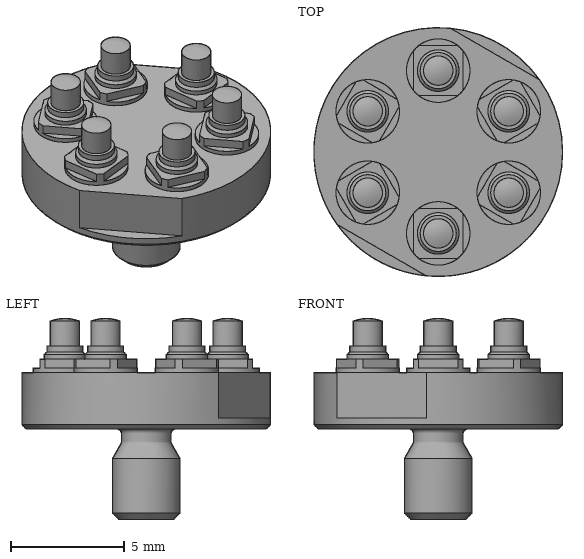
import cadquery as cq
import math

plate_diameter = 11.0
plate_thickness = 2.5
plate_chamfer = 0.2
flat_distance = 5.0
flat_height = 2.0
flat_angles = (60, 240)

stud_diameter = 3.0
stud_length = 4.0
stud_chamfer = 0.3
neck_diameter = 2.2
neck_length = 0.6
neck_fillet = 0.2
cone_half_angle = 30

pin_count = 6
pin_circle_radius = 3.6
first_pin_angle = 30
flange_diameter = 2.8
flange_height = 0.2
square_width = 2.2
square_height = 0.4
collar_diameter = 1.84
collar_height = 0.2
step_diameter = 1.6
step_height = 0.58
shoulder_height = 0.12
tip_diameter = 1.3
pin_height = 2.4
dome_height = 0.12


def make_plate():
    plate = cq.Workplane("XY").circle(plate_diameter / 2).extrude(plate_thickness)
    plate = plate.faces("<Z").edges().chamfer(plate_chamfer)
    cutter = (
        cq.Workplane("XY")
        .box(plate_diameter, plate_diameter, flat_height, centered=(False, True, False))
        .translate((flat_distance, 0, plate_thickness - flat_height))
    )
    for angle in flat_angles:
        plate = plate.cut(cutter.rotate((0, 0, 0), (0, 0, 1), angle))
    return plate


def make_stud():
    stud_radius = stud_diameter / 2
    neck_radius = neck_diameter / 2
    cone_length = (stud_radius - neck_radius) / math.tan(math.radians(cone_half_angle))

    tangent = neck_fillet * math.tan(math.radians(cone_half_angle / 2))
    cone_tangent_radius = neck_radius + tangent * math.sin(math.radians(cone_half_angle))
    cone_tangent_z = -neck_length - tangent * math.cos(math.radians(cone_half_angle))
    profile = (
        cq.Workplane("XZ")
        .lineTo(neck_radius + neck_fillet, 0)
        .radiusArc((neck_radius, -neck_fillet), -neck_fillet)
        .lineTo(neck_radius, -neck_length + tangent)
        .radiusArc((cone_tangent_radius, cone_tangent_z), -neck_fillet)
        .lineTo(stud_radius, -neck_length - cone_length)
        .lineTo(stud_radius, -stud_length + stud_chamfer)
        .lineTo(stud_radius - stud_chamfer, -stud_length)
        .lineTo(0, -stud_length)
        .close()
    )
    return profile.revolve(360, (0, 0, 0), (0, 1, 0))


def make_pin():
    """One pin standing on Z = 0, with its square facing +X."""
    flange_radius = flange_diameter / 2
    square_top = flange_height + square_height
    flange = cq.Workplane("XY").circle(flange_radius).extrude(square_top)
    square = cq.Workplane("XY").rect(square_width, square_width).extrude(square_top)
    disc = cq.Workplane("XY").circle(flange_radius).extrude(flange_height)
    base = flange.intersect(square).union(disc)

    collar_radius = collar_diameter / 2
    step_radius = step_diameter / 2
    tip_radius = tip_diameter / 2
    collar_top = square_top + collar_height
    step_top = square_top + step_height
    tip_edge = pin_height - dome_height
    dome_radius = (tip_radius ** 2 + dome_height ** 2) / (2 * dome_height)
    post = (
        cq.Workplane("XZ")
        .lineTo(collar_radius, 0)
        .lineTo(collar_radius, collar_top)
        .lineTo(step_radius, collar_top + shoulder_height)
        .lineTo(step_radius, step_top)
        .lineTo(tip_radius, step_top)
        .lineTo(tip_radius, tip_edge)
        .radiusArc((0, pin_height), -dome_radius)
        .close()
        .revolve(360, (0, 0, 0), (0, 1, 0))
    )
    return base.union(post)


result = make_plate().union(make_stud())
pin = make_pin().translate((pin_circle_radius, 0, plate_thickness))
for index in range(pin_count):
    pin_angle = first_pin_angle + index * 360 / pin_count
    result = result.union(pin.rotate((0, 0, 0), (0, 0, 1), pin_angle))